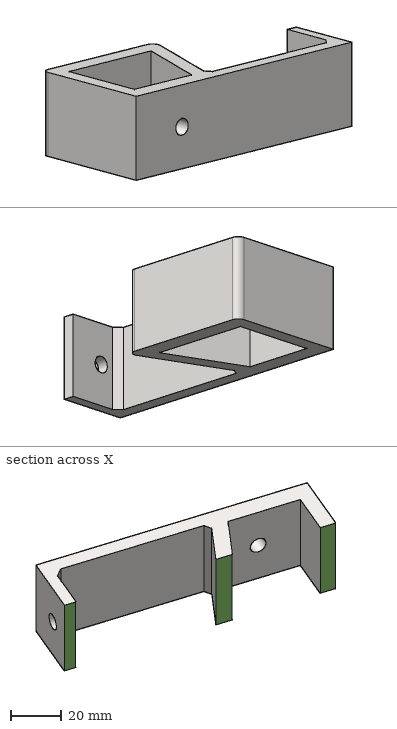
import cadquery as cq
import math

width = 54.1
length = 119.46
height = 34.8

back_wall = 6.4
lip_length = 32.0
lip_thickness = 5.1
lip_chamfer_x = 3.2
lip_chamfer_y = 2.9

slope = math.tan(math.radians(20))
cell_side_wall = 8.2
cell_bottom_wall = 6.86
cell_slope_wall = 6.86
cell_long_side = 45.5
corner_radius = 3.2
crotch_chamfer_x = 2.9
crotch_chamfer_y = 2.1

hole_diameter = 6.86
back_hole_y = 25.4

back_face_x = width - back_wall
lip_face_y = length - lip_thickness
cell_left_x = cell_side_wall
cell_right_x = width - cell_side_wall
cell_top_left_y = cell_bottom_wall + cell_long_side
slope_wall_rise = cell_slope_wall * math.sqrt(1 + slope**2)


def cell_slope_y(x):
    """Y of the sloping inner face of the cell at a given X."""
    return cell_top_left_y - slope * (x - cell_left_x)


def outer_slope_y(x):
    """Y of the sloping outer face at a given X."""
    return cell_slope_y(x) + slope_wall_rise


def make_body():
    crotch_x = back_face_x - crotch_chamfer_x
    crotch_y = outer_slope_y(crotch_x)
    outline = [
        (0, 0),
        (width, 0),
        (width, length),
        (width - lip_length, length),
        (width - lip_length, lip_face_y),
        (back_face_x - lip_chamfer_x, lip_face_y),
        (back_face_x, lip_face_y - lip_chamfer_y),
        (back_face_x, crotch_y + crotch_chamfer_y),
        (crotch_x, crotch_y),
        (0, outer_slope_y(0)),
    ]
    body = cq.Workplane("XY").polyline(outline).close().extrude(height)
    return body.edges("|Z and <X").fillet(corner_radius)


def make_cell():
    outline = [
        (cell_left_x, cell_bottom_wall),
        (cell_right_x, cell_bottom_wall),
        (cell_right_x, cell_slope_y(cell_right_x)),
        (cell_left_x, cell_top_left_y),
    ]
    return cq.Workplane("XY").polyline(outline).close().extrude(height)


def make_hole(start, direction, depth):
    return cq.Workplane(cq.Solid.makeCylinder(hole_diameter / 2, depth, start, direction))


lip_hole = make_hole(
    cq.Vector(width - lip_length / 2, lip_face_y, height / 2),
    cq.Vector(0, 1, 0),
    lip_thickness,
)

back_hole = make_hole(
    cq.Vector(cell_right_x, back_hole_y, height / 2),
    cq.Vector(1, 0, 0),
    cell_side_wall,
)

result = make_body().cut(make_cell()).cut(lip_hole).cut(back_hole)